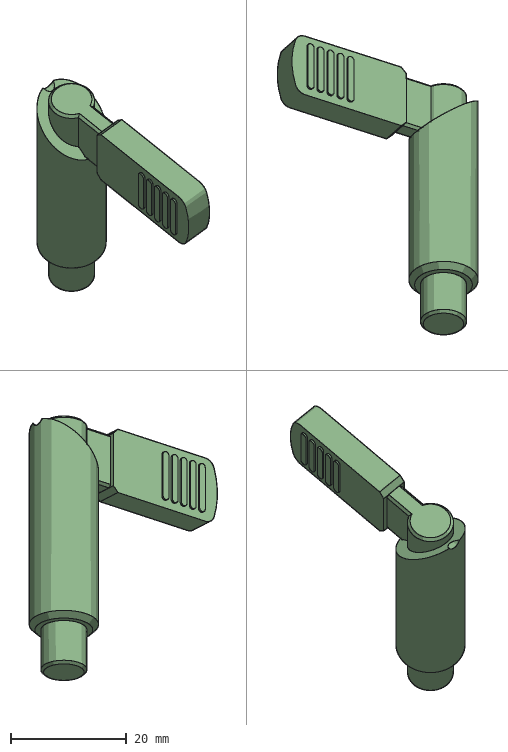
import cadquery as cq
import math

total_height = 48.0
reach = 32.0

sleeve_radius = 6.0
sleeve_bottom = 8.0
sleeve_chamfer = 1.0
sleeve_tip = 46.1
notch_radius = 1.35
notch_floor = 45.15

grip_start = 9.0
grip_height = 12.0
grip_thickness = 5.0
grip_chamfer = 1.0
grip_end_radius = 15.0
grip_corner_radius = 2.0
grip_middle = total_height - grip_height / 2

rib_count = 5
rib_first = 20.35
rib_pitch = 2.0
rib_width = 1.25
rib_length = 9.1
rib_rise = 0.35

pin_radius = 4.0
edge_chamfer = 0.5
arm_width = 3.5
arm_bottom = total_height - grip_height + grip_chamfer
arm_top = total_height - grip_chamfer


def make_pin():
    """Round pin carrying a flat arm that reaches out to the grip."""
    shaft = cq.Workplane("XY").circle(pin_radius).extrude(arm_top)
    shaft = shaft.faces("<Z or >Z").chamfer(edge_chamfer)
    arm = (
        cq.Workplane("XY")
        .box(grip_start, arm_width, arm_top - arm_bottom, centered=(False, True, False))
        .edges("|X")
        .chamfer(edge_chamfer)
        .translate((0, 0, arm_bottom))
    )
    return shaft.union(arm)


def make_sleeve(pin):
    """Sleeve with a sloping top, an index notch at its tip and a seat for the pin and arm."""
    sleeve = (
        cq.Workplane("XY", origin=(0, 0, sleeve_bottom))
        .circle(sleeve_radius)
        .extrude(total_height - sleeve_bottom)
        .faces("<Z")
        .chamfer(sleeve_chamfer)
    )
    above_slope = (
        cq.Workplane("XZ")
        .moveTo(-sleeve_radius, sleeve_tip)
        .lineTo(sleeve_radius, arm_bottom)
        .lineTo(sleeve_radius, total_height)
        .lineTo(-sleeve_radius, total_height)
        .close()
        .extrude(sleeve_radius, both=True)
    )
    notch = (
        cq.Workplane("YZ", origin=(-sleeve_radius, 0, notch_floor + notch_radius))
        .circle(notch_radius)
        .extrude(sleeve_radius - pin_radius)
    )
    return sleeve.cut(above_slope).cut(notch).cut(pin)


def make_grip():
    """Flat grip with a chamfered root, a bowed end and ribs on both faces."""
    half_height = grip_height / 2
    end_sag = grip_end_radius - math.sqrt(grip_end_radius**2 - half_height**2)
    end_corner = reach - end_sag
    grip = (
        cq.Workplane("XZ", origin=(0, 0, grip_middle))
        .moveTo(grip_start, -half_height)
        .lineTo(end_corner, -half_height)
        .threePointArc((reach, 0), (end_corner, half_height))
        .lineTo(grip_start, half_height)
        .close()
        .extrude(grip_thickness / 2, both=True)
    )
    grip = grip.edges("|Y and (not <X)").fillet(grip_corner_radius)
    grip = grip.edges("|Y and <X").chamfer(grip_chamfer)
    for index in range(rib_count):
        rib = (
            cq.Workplane("XZ", origin=(rib_first + index * rib_pitch, 0, grip_middle))
            .slot2D(rib_length, rib_width, 90)
            .extrude(grip_thickness / 2 + rib_rise, both=True)
        )
        grip = grip.union(rib)
    return grip


pin = make_pin()
sleeve = make_sleeve(pin)
grip = make_grip()
result = cq.Compound.makeCompound([*sleeve.solids().vals(), *pin.solids().vals(), *grip.solids().vals()])